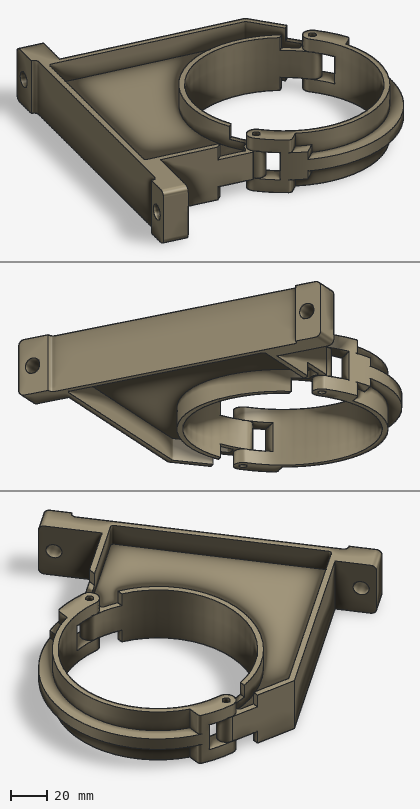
import cadquery as cq
import math

width = 190.8
height = 33.0
web_thickness = 7.3
wall = 3.5
left_side = -72.0
right_side = 59.5

foot_depth = 15.0
foot_corner_radius = 3.5
recess_left = -76.7
recess_right = 79.5
recess_depth = 3.2
recess_corner_radius = 2.9
foot_hole_diameter = 9.0
foot_hole_x = 86.6
pocket_bottom = 6.9
pocket_corner_radius = 1.7

ring_x = 7.8
ring_y = 114.9
bore_radius = 55.2
sleeve_radius = 58.4
flange_radius = 66.0

split_angle = -40.0
pivot_radius = (bore_radius + flange_radius) / 2
lug_radius = (flange_radius - bore_radius) / 2
pivot_hole_diameter = 4.4
pivot_boss_radius = 6.7
tongue_thickness = 17.0
notch_depth = 16.5
slot_depth = 14.7
ear_length = 20.8
ear_corner_radius = 2.3
stop_length = 29.2

split_normal = cq.Vector(
    -math.sin(math.radians(split_angle)), math.cos(math.radians(split_angle)), 0
)
split_span = 3 * flange_radius


def slab(thickness, low, high, along_low=-split_span, along_high=split_span):
    """Block centred on Z, measured along and perpendicular to the split line."""
    return (
        cq.Workplane("XY")
        .box(along_high - along_low, high - low, thickness)
        .translate(((along_low + along_high) / 2, (low + high) / 2, 0))
        .rotate((0, 0, 0), (0, 0, 1), split_angle)
        .translate((ring_x, ring_y, 0))
    )


def disc(radius, thickness, x=ring_x, y=ring_y):
    return cq.Workplane("XY").center(x, y).circle(radius).extrude(thickness / 2, both=True)


def at_pivots(radius, thickness):
    """Discs on both pivot axes."""
    discs = cq.Workplane("XY")
    for angle in (split_angle, split_angle + 180):
        x = ring_x + pivot_radius * math.cos(math.radians(angle))
        y = ring_y + pivot_radius * math.sin(math.radians(angle))
        discs = discs.add(disc(radius, thickness, x, y))
    return discs.combine()


def prism(points, thickness):
    return cq.Workplane("XY").polyline(points).close().extrude(thickness / 2, both=True)


def housing_prism(inset, bottom, thickness):
    """Five-sided housing shape; its sloping side is tangent to a ring-centred circle."""
    left = left_side + inset
    right = right_side - inset
    tangent_radius = flange_radius - inset
    tangent_offset = tangent_radius / math.sqrt(2)
    slope_start = ring_y + tangent_radius * math.sqrt(2) - (ring_x - left)
    return prism(
        [
            (left, bottom),
            (right, bottom),
            (right, ring_y),
            (ring_x - tangent_offset, ring_y + tangent_offset),
            (left, slope_start),
        ],
        thickness,
    )


bore = disc(bore_radius, 2 * height)
below_split = slab(2 * height, -split_span, 0)
above_split = slab(2 * height, 0, split_span)
outside_tongue = slab(2 * height, -notch_depth, split_span).cut(
    slab(tongue_thickness, -notch_depth, split_span)
)


def feet():
    """Base bar with a shallow recess underneath and a bolt hole at each end."""
    bar = cq.Workplane("XY").box(width, foot_depth, height).translate((0, foot_depth / 2, 0))
    bar = bar.edges("|Y").fillet(foot_corner_radius)
    recess = (
        cq.Workplane("XY")
        .center((recess_left + recess_right) / 2, 0)
        .rect(recess_right - recess_left, 2 * recess_depth)
        .extrude(height, both=True)
        .edges("|Z")
        .fillet(recess_corner_radius)
    )
    bolts = (
        cq.Workplane("XZ")
        .pushPoints([(-foot_hole_x, 0), (foot_hole_x, 0)])
        .circle(foot_hole_diameter / 2)
        .extrude(foot_depth, both=True)
    )
    return bar.cut(recess).cut(bolts)


def pockets():
    """Recesses on both faces of the web, clear of the sleeve and pivot bosses."""
    shape = housing_prism(wall, pocket_bottom, 2 * height).intersect(below_split)
    shape = shape.cut(disc(sleeve_radius, 2 * height))
    shape = shape.cut(at_pivots(pivot_boss_radius, 2 * height))
    shape = shape.edges("|Z").fillet(pocket_corner_radius)
    web = cq.Workplane("XY").box(4 * width, 4 * width, web_thickness)
    return shape.cut(web)


def base():
    housing = housing_prism(0, recess_depth, height)
    housing = housing.union(disc(flange_radius, height)).intersect(below_split)
    housing = housing.union(feet()).cut(pockets())
    tongues = at_pivots(lug_radius, tongue_thickness)
    return housing.cut(outside_tongue).cut(bore).union(tongues)


def clamp():
    """Upper half ring with a stiffening rib and a forked lug at each pivot."""
    sleeve = disc(sleeve_radius, height).intersect(above_split)
    rib = disc(flange_radius, web_thickness).intersect(above_split)
    lugs = disc(flange_radius, height).intersect(slab(height, 0, ear_length))
    ear_ends = lugs.faces(cq.selectors.DirectionMinMaxSelector(split_normal, True))
    lugs = ear_ends.edges("|Z").fillet(ear_corner_radius)
    stop = disc(flange_radius, tongue_thickness).intersect(
        slab(tongue_thickness, 0, stop_length, 0)
    )
    ring = sleeve.union(rib).union(lugs).union(stop).cut(bore)
    ring = ring.union(at_pivots(lug_radius, height))
    return ring.cut(slab(tongue_thickness, -split_span, slot_depth))


pivot_holes = at_pivots(pivot_hole_diameter / 2, 2 * height)
result = base().union(clamp()).cut(pivot_holes)